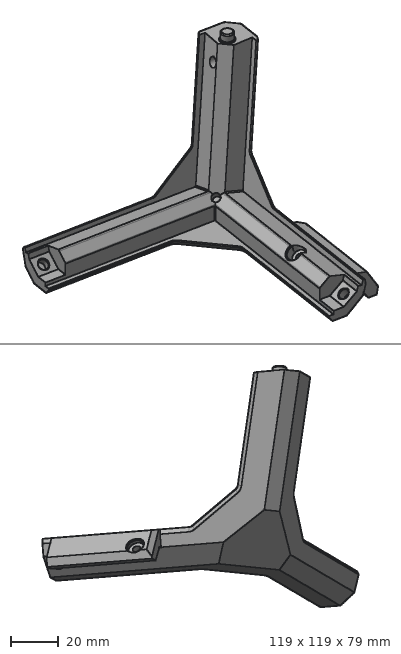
import cadquery as cq
import math


leg_length = 119.0
post_height = 75.0
total_height = 79.0
post_lean = 19.0
lean = post_lean / post_height
slant = math.hypot(1, lean)
reach = 238.1

wall_thickness = 2.0
floor_thickness = 3.2
floor_edge = 34.6
floor_gusset = 54.8
floor_bevel_width = 1.8
floor_bevel_height = 2.4
gusset_top = (30.7, 28.8)
gusset_foot = 52.8
gusset_round = 3.0
left_wall_top = 13.9
left_bevel_width = 1.2
left_bevel_depth = 1.1
back_wall_top = 14.4
back_bevel_width = 2.0
back_bevel_depth = 1.0

ridge_section = [
    (14.0, 11.8),
    (27.1, 14.9),
    (27.7, 14.5),
    (32.0, 11.1),
    (32.4, 10.6),
]
bevel_start, bevel_end = ridge_section[2:4]

post_inner_near = 16.2
post_inner_far = 16.7
post_bevel_start = 11.8
post_root_height = 10.7

post_chamfer = 5.0
left_chamfer_foot = 24.0
left_chamfer_height = 5.2
back_chamfer_foot = 25.6
back_chamfer_height = 7.1
corner_cut_foot = 69.4
corner_cut_slope = 1.9

seat_length = 10.2
seat_wall_top = (19.8, 12.6)
seat_slope_top = (20.5, 10.2)
seat_slope_foot = (27.1, 5.0)
seat_hole_diameter = 4.6
seat_hole_rim = 0.4
seat_hole_offset = 5.0
left_hole_depth = 4.0
back_hole_depth = 7.1

screw_diameter = 3.3
screw_depth = 29.8
head_diameter = 7.0
head_rim = 0.5
leg_screw_x = 84.2
leg_screw_y = 28.5
leg_head_depth = 4.6

wing_start = 66.4
wing_end = 113.2
wing_section = [(6.2, 0), (5.5, 3.9), (11.3, 13.5), (16.4, 14.6), (18.1, 7.0), (15.4, 7.0), (10.5, 0)]
wing_inner_round = 1.0
wing_end_chamfer = 2.1
wing_screw_x = 74.3
wing_screw_y = 6.9
wing_head_depth = 2.0

pin_diameter = 6.0
pin_flare_diameter = 7.0
pin_flare_height = 0.5
pin_tip_chamfer = 0.6
pin_root_depth = 1.2
pin_position = 11.4
lock_hole_diameter = 4.6
lock_hole_height = 66.2
lock_hole_reach = 23.8

relief_diameter = 4.0
relief_depth = 7.1
relief_start = (31.8, 15.2)

seam_blend = 0.5
seam_points = [(32.4, -32.4, 6.9), (32.0, -22.6, 13.6), (22.6, -32.0, 13.6)]

leg_swap = cq.Vector(1, 1, 0)


def wall_at(height):
    """Sideways position of a leaning outer wall."""
    return lean * (post_height - height)


def cut_beyond(body, point, outward):
    """Remove everything on the outward side of a plane."""
    waste = cq.Workplane(cq.Plane(origin=point, normal=outward)).rect(2 * reach, 2 * reach).extrude(reach)
    return body.cut(waste)


def bevelled_plate(plane, outline, thickness, bevel_width, bevel_depth):
    """Plate whose outer face lies on an outward-facing plane, with its edges bevelled towards that face."""
    sharp = cq.Workplane(plane).workplane(offset=-bevel_depth).polyline(outline).close().val()
    gusset_corners = sharp.Vertices()[3:5]
    rounded = sharp.fillet2D(gusset_round, gusset_corners)
    taper = math.degrees(math.atan2(bevel_width, bevel_depth))
    inner_layer = cq.Solid.extrudeLinear(rounded, [], plane.zDir * (bevel_depth - thickness))
    outer_layer = cq.Solid.extrudeLinear(rounded, [], plane.zDir * bevel_depth, taper)
    return cq.Workplane(inner_layer).union(cq.Workplane(outer_layer))


def leaning_wall(top, bevel_width, bevel_depth):
    """Left wall, shared by the post and the -Y leg, with the gusset between them."""
    gusset_x, gusset_z = gusset_top
    post_edge = gusset_x - lean * (reach - gusset_z)
    outline = [
        (-reach, -reach),
        (reach, -reach),
        (reach, top * slant),
        (gusset_foot, top * slant),
        (gusset_x, gusset_z * slant),
        (post_edge, reach * slant),
        (-reach, reach * slant),
    ]
    plane = cq.Plane(origin=(wall_at(0), 0, 0), xDir=(0, -1, 0), normal=(-1, 0, -lean))
    return bevelled_plate(plane, outline, wall_thickness, bevel_width, bevel_depth)


def floor_plate():
    """Floor under both legs, with the gusset between them."""
    outline = [
        (-reach, -reach),
        (reach, -reach),
        (reach, floor_edge),
        (floor_gusset, floor_edge),
        (floor_edge, floor_gusset),
        (floor_edge, reach),
        (-reach, reach),
    ]
    plane = cq.Plane(origin=(0, 0, 0), xDir=(1, 0, 0), normal=(0, 0, -1))
    return bevelled_plate(plane, outline, floor_thickness, floor_bevel_width, floor_bevel_height)


def leg_ridge():
    """Ridge of the -Y leg, reaching back through the corner, with its base down to the floor."""
    outer_height = ridge_section[0][1]
    inner_side = ridge_section[-1][0]
    section = [(wall_at(0), 0), (wall_at(outer_height), outer_height), *ridge_section[1:], (inner_side, 0)]
    return cq.Workplane("XZ").polyline(section).close().extrude(leg_length)


def post_ridge():
    """Ridge of the post, a slanted prism that ends where the leg ridges take over."""
    drop = post_height - post_root_height
    section = [
        (0, 0),
        (post_inner_near, 0),
        (post_inner_far, -post_bevel_start),
        (post_bevel_start, -post_inner_far),
        (0, -post_inner_near),
    ]
    wire = cq.Workplane("XY").workplane(offset=post_height).polyline(section).close().val()
    along = cq.Vector(lean * drop, -lean * drop, -drop)
    return cq.Workplane(cq.Solid.extrudeLinear(wire, [], along))


def trim_outside(body):
    """Cut the outer walls, leg ends, edge chamfers and corner facet."""
    cuts = [
        ((wall_at(0), 0, 0), (-1, 0, -lean)),
        ((0, -wall_at(0), 0), (0, 1, -lean)),
        ((0, 0, post_height), (0, 0, 1)),
        ((leg_length, 0, 0), (1, 0, 0)),
        ((0, -leg_length, 0), (0, -1, 0)),
        ((post_chamfer, 0, post_height), (-1, 1, -2 * lean)),
        (
            (left_chamfer_foot, 0, 0),
            (-left_chamfer_height, 0, wall_at(left_chamfer_height) - left_chamfer_foot),
        ),
        (
            (0, -back_chamfer_foot, 0),
            (0, back_chamfer_height, wall_at(back_chamfer_height) - back_chamfer_foot),
        ),
        ((corner_cut_foot, 0, 0), (-1, 1, -corner_cut_slope)),
    ]
    for point, outward in cuts:
        body = cut_beyond(body, point, outward)
    return body


def drill(point, inward, diameter, depth, rim=0.0):
    """Cutter for a round hole starting at a point, with an optional chamfered rim."""
    start, direction = cq.Vector(*point), cq.Vector(*inward).normalized()
    radius = diameter / 2
    cutter = cq.Solid.makeCylinder(radius, depth, start, direction)
    if rim:
        cutter = cutter.fuse(cq.Solid.makeCone(radius + rim, radius, rim, start, direction))
    return cq.Workplane(cutter)


def screw_hole(point, inward, head_depth):
    """Cutter for a counterbored screw hole, open for one head diameter above its rim."""
    outward = cq.Vector(*inward).normalized() * -1
    hole = drill(point, inward, head_diameter, head_depth, head_rim)
    hole = hole.union(drill(point, outward.toTuple(), head_diameter + 2 * head_rim, head_diameter))
    return hole.union(drill(point, inward, screw_diameter, screw_depth))


def seat_cutter(hole_depth):
    """Open seat at the end of the -Y leg, with the hole in its sloping floor."""
    right = reach / 2
    above = reach / 2
    section = [
        (seat_wall_top[0] - lean * (above - seat_wall_top[1]), above),
        seat_slope_top,
        seat_slope_foot,
        (right, seat_slope_foot[1]),
        (right, above),
    ]
    seat = cq.Workplane("XZ", origin=(0, seat_length - leg_length, 0))
    seat = seat.polyline(section).close().extrude(seat_length)
    run = seat_slope_foot[0] - seat_slope_top[0]
    fall = seat_slope_top[1] - seat_slope_foot[1]
    middle = (
        (seat_slope_top[0] + seat_slope_foot[0]) / 2,
        seat_hole_offset - leg_length,
        (seat_slope_top[1] + seat_slope_foot[1]) / 2,
    )
    return seat.union(drill(middle, (-fall, 0, -run), seat_hole_diameter, hole_depth, seat_hole_rim))


def leg_screw_hole():
    """Screw hole square to the bevel of the X leg's ridge, cleared straight up from the head seat."""
    run = bevel_end[0] - bevel_start[0]
    fall = bevel_start[1] - bevel_end[1]
    height = bevel_start[1] - (leg_screw_y - bevel_start[0]) * fall / run
    start, inward = cq.Vector(leg_screw_x, -leg_screw_y, height), cq.Vector(0, fall, -run).normalized()
    hole = screw_hole(start.toTuple(), inward.toTuple(), leg_head_depth)
    seat_circle = cq.Wire.makeCircle(head_diameter / 2, start + inward * leg_head_depth, inward)
    return hole.union(cq.Workplane(cq.Solid.extrudeLinear(seat_circle, [], cq.Vector(0, 0, post_height))))


def wing():
    """Slanted bar behind the X leg, with a counterbored hole square to its outer face."""
    section = [(-distance, height) for distance, height in wing_section]
    bar = cq.Workplane("YZ", origin=(wing_start, 0, 0)).polyline(section).close()
    bar = bar.extrude(wing_end - wing_start)
    inner_corner = cq.selectors.NearestToPointSelector(
        ((wing_start + wing_end) / 2, -wing_section[5][0], wing_section[5][1])
    )
    bar = bar.edges(inner_corner).fillet(wing_inner_round)
    (low_y, low_z), (high_y, high_z) = wing_section[1:3]
    end_edge = cq.selectors.NearestToPointSelector(
        (wing_start, -(low_y + high_y) / 2, (low_z + high_z) / 2)
    )
    bar = bar.edges(end_edge).chamfer(wing_end_chamfer)
    run, rise = high_y - low_y, high_z - low_z
    height = low_z + (wing_screw_y - low_y) * rise / run
    hole = screw_hole((wing_screw_x, -wing_screw_y, height), (0, -rise, -run), wing_head_depth)
    return bar, hole


def pin():
    """Turned pin on the post's top face, flared at its root and chamfered at its tip."""
    radius = pin_diameter / 2
    profile = [
        (0, post_height - pin_root_depth),
        (pin_flare_diameter / 2, post_height - pin_root_depth),
        (pin_flare_diameter / 2, post_height),
        (radius, post_height + pin_flare_height),
        (radius, total_height - pin_tip_chamfer),
        (radius - pin_tip_chamfer, total_height),
        (0, total_height),
    ]
    turned = cq.Workplane("XZ").polyline(profile).close().revolve(360, (0, 0, 0), (0, 1, 0))
    return turned.translate((pin_position, -pin_position, 0))


def lock_hole():
    """Hole along Y through the front of the post, ending on the pin's axis."""
    start = (pin_position, -pin_position - lock_hole_reach, lock_hole_height)
    return drill(start, (0, 1, 0), lock_hole_diameter, lock_hole_reach)


def relief_hole():
    """Blind hole into the meeting point of the ridges, square to the outer corner facet."""
    sideways, height = relief_start
    inward = (-1, 1, -corner_cut_slope)
    return drill((sideways, -sideways, height), inward, relief_diameter, relief_depth)


left_wall = leaning_wall(left_wall_top, left_bevel_width, left_bevel_depth)
back_wall = leaning_wall(back_wall_top, back_bevel_width, back_bevel_depth).mirror(leg_swap)
left_ridge = leg_ridge()
back_ridge = left_ridge.mirror(leg_swap)
bracket = trim_outside(left_wall)
for piece in (back_wall, floor_plate(), left_ridge, back_ridge, post_ridge()):
    bracket = bracket.union(trim_outside(piece))

for seam_point in seam_points:
    bracket = bracket.edges(cq.selectors.NearestToPointSelector(seam_point)).chamfer(seam_blend)

bracket = bracket.cut(seat_cutter(left_hole_depth))
bracket = bracket.cut(seat_cutter(back_hole_depth).mirror(leg_swap))
bracket = bracket.cut(leg_screw_hole())
bracket = bracket.cut(lock_hole())
bracket = bracket.cut(relief_hole())

wing_bar, wing_hole = wing()
bracket = bracket.union(wing_bar.cut(wing_hole)).union(pin())

result = bracket.translate((0, leg_length, 0))